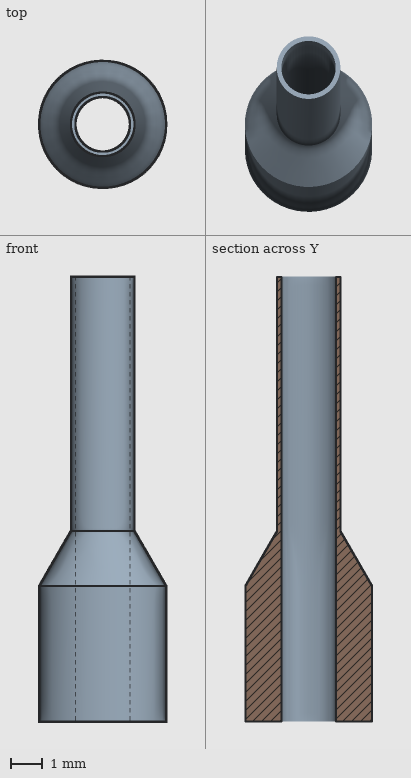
import cadquery as cq
import math

total_height = 14.0
collar_diameter = 4.0
tube_diameter = 2.0
bore_diameter = 1.71
tube_length = 8.0
cone_slope = 60.0

collar_radius = collar_diameter / 2
tube_radius = tube_diameter / 2
cone_height = (collar_radius - tube_radius) * math.tan(math.radians(cone_slope))
cone_top = total_height - tube_length
collar_height = cone_top - cone_height


def outer_body():
    """Collar, conical shoulder and tube revolved as one solid."""
    half_profile = (
        cq.Workplane("XZ")
        .lineTo(collar_radius, 0)
        .lineTo(collar_radius, collar_height)
        .lineTo(tube_radius, cone_top)
        .lineTo(tube_radius, total_height)
        .lineTo(0, total_height)
        .close()
    )
    return half_profile.revolve(360, (0, 0, 0), (0, 1, 0))


def bore():
    """Straight passage through the full height."""
    return cq.Workplane("XY").circle(bore_diameter / 2).extrude(total_height)


result = outer_body().cut(bore())